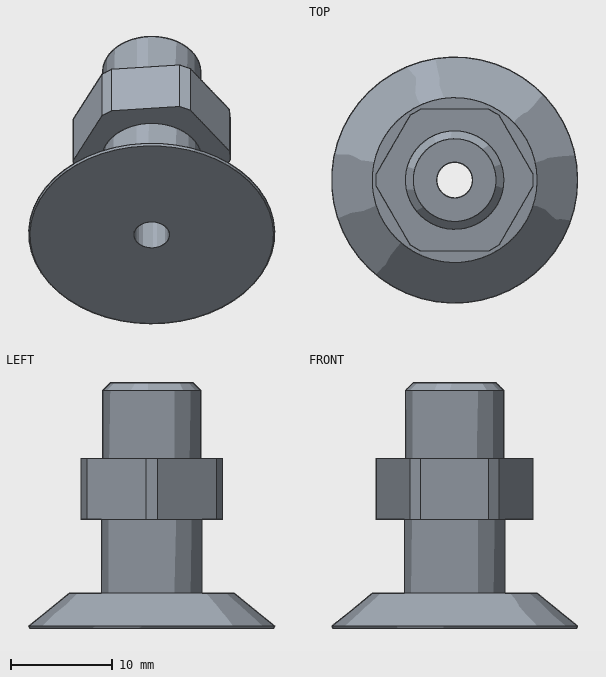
import cadquery as cq

height = 24.3
bore_diameter = 3.5

cup_rim_diameter = 24.32
cup_foot_diameter = 24.05
cup_top_diameter = 16.3
cup_rim_height = 0.25
cup_height = 3.5

hex_bottom = 10.8
hex_height = 6.0
hex_across_flats = 14.0
hex_across_corners = 15.5

stem_diameter = 9.97
spigot_diameter = 9.73
spigot_chamfer = 0.78

hex_top = hex_bottom + hex_height


def make_cup():
    """Cone flaring down to a thin rim that tapers back in at the foot."""
    profile = [
        (0, 0),
        (cup_foot_diameter / 2, 0),
        (cup_rim_diameter / 2, cup_rim_height),
        (cup_top_diameter / 2, cup_height),
        (0, cup_height),
    ]
    return cq.Workplane("XZ").polyline(profile).close().revolve(axisStart=(0, 0), axisEnd=(0, 1))


def make_cylinder(diameter, bottom, top):
    return cq.Workplane("XY").workplane(offset=bottom).circle(diameter / 2).extrude(top - bottom)


def make_hex_prism(across_flats, turn):
    """Hexagonal prism; a turn of zero puts two flats across the X axis."""
    return (
        cq.Workplane("XY")
        .workplane(offset=hex_bottom)
        .transformed(rotate=(0, 0, turn))
        .polygon(6, across_flats, circumscribed=True)
        .extrude(hex_height)
    )


def make_hexagon():
    """Hexagon with flats facing +Y and -Y, and each corner cut flat."""
    body_turn = 30
    body = make_hex_prism(hex_across_flats, body_turn)
    corner_cuts = make_hex_prism(hex_across_corners, 0)
    return body.intersect(corner_cuts)


stem = make_cylinder(stem_diameter, cup_height, hex_bottom)
spigot = make_cylinder(spigot_diameter, hex_top, height).faces(">Z").chamfer(spigot_chamfer)
bore = make_cylinder(bore_diameter, 0, height)

result = make_cup().union(stem).union(make_hexagon()).union(spigot).cut(bore)